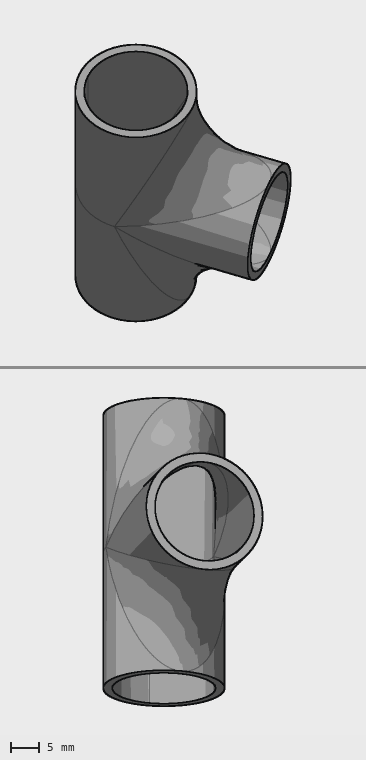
import cadquery as cq
import math

OUTER_DIAMETER = 21.3
WALL = 1.6
RUN_LENGTH = 50.0
REACH = RUN_LENGTH / 2

SWEEP_STEPS = 24
ARCH_STEPS = 48
FIT_TOLERANCE = 0.0001
SEW_TOLERANCE = 0.001


def xz_prism(points, radius):
    """Extrude an XZ outline across the full pipe width."""
    return cq.Workplane("XZ").polyline(points).close().extrude(2 * radius, both=True)


def crotch(radius):
    """Upper skin between run and branch, made of half-ellipses hinged on the Y axis.

    In the middle plane the half-ellipse tips follow an arc tangent to both pipes.
    """
    arc_radius = REACH - radius
    grid = []
    for i in range(SWEEP_STEPS + 1):
        sweep = math.pi / 2 * i / SWEEP_STEPS
        tip_x = REACH - arc_radius * math.cos(sweep)
        tip_z = REACH - arc_radius * math.sin(sweep)
        row = []
        for j in range(ARCH_STEPS + 1):
            arch = math.pi * j / ARCH_STEPS
            height = math.sin(arch)
            row.append(cq.Vector(tip_x * height, radius * math.cos(arch), tip_z * height))
        grid.append(row)
    return cq.Face.makeSplineApprox(grid, tol=FIT_TOLERANCE, minDeg=3, maxDeg=8)


def tee_skin(radius):
    """Faces of an open tee surface of the given pipe radius."""
    run_gap = xz_prism(
        [(0, 0), (radius, REACH), (REACH, REACH), (REACH, -REACH), (radius, -REACH)], radius
    )
    run = cq.Workplane("XY").circle(radius).extrude(REACH, both=True)
    run = run.rotate((0, 0, 0), (0, 0, 1), 180).cut(run_gap)

    branch_span = xz_prism([(0, 0), (REACH, radius), (REACH, -radius)], radius)
    branch = cq.Workplane("YZ").circle(radius).extrude(REACH).intersect(branch_span)

    upper = crotch(radius)
    lower = upper.mirror("XY")
    pipes = run.faces("%CYLINDER").vals() + branch.faces("%CYLINDER").vals()
    return pipes + [upper, lower]


def end_ring(plane, offset):
    """Flat annular pipe end at the given offset along the plane normal."""
    sketch = cq.Workplane(plane).workplane(offset=offset)
    rim = sketch.circle(outer_radius).wires().val()
    bore = sketch.circle(inner_radius).wires().val()
    return cq.Face.makeFromWires(rim, [bore])


outer_radius = OUTER_DIAMETER / 2
inner_radius = outer_radius - WALL
ends = [end_ring("XY", REACH), end_ring("XY", -REACH), end_ring("YZ", REACH)]
faces = tee_skin(outer_radius) + tee_skin(inner_radius) + ends
body = cq.occ_impl.shapes.solid(faces, tol=SEW_TOLERANCE)
result = cq.Workplane("XY").newObject([body])